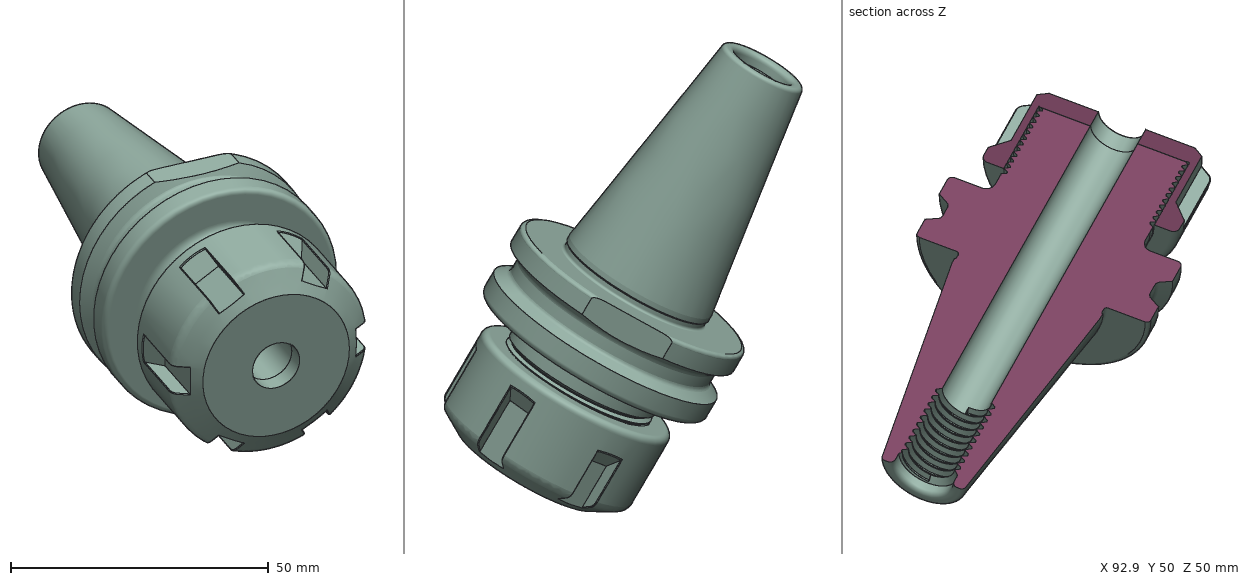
import cadquery as cq
import math


LENGTH = 92.9

TAPER_END_X = 48.3
TAPER_LARGE_R = 15.9
TAPER_RATIO = 7 / 24
TAPER_SMALL_R = TAPER_LARGE_R - TAPER_END_X * TAPER_RATIO / 2
SHANK_ROUND = 0.9

RELIEF_START_X = 49.4
RELIEF_DEPTH = 0.3
RELIEF_R = TAPER_LARGE_R - RELIEF_DEPTH
RELIEF_ROUND = 0.6

FLANGE_R = 25.0
FLANGE_REAR_X = 51.1
FLANGE_FRONT_X = 67.0
REAR_ROUND = 0.8
FRONT_ROUND = 1.1
GROOVE_START_X = 55.6
GROOVE_END_X = 62.15
GROOVE_FLOOR_R = 22.2
GROOVE_WALL_ANGLE = 30
GROOVE_WALL_RUN = (FLANGE_R - GROOVE_FLOOR_R) * math.tan(math.radians(GROOVE_WALL_ANGLE))
GROOVE_MIDDLE_X = (GROOVE_START_X + GROOVE_END_X) / 2
GROOVE_ROUND = 0.9
FLAT_HEIGHT = 23.3

NOSE_R = 16.1
NOSE_ROUND = 1.95
NOSE_END_X = 89.2
NOSE_THREAD_X = 71.5
NOSE_PITCH = 1.5
NOSE_THREAD_DEPTH = 0.9

BORE_R = 5.0
COUNTERBORE_R = 6.2
COUNTERBORE_DEPTH = 2.7
COUNTERBORE_ROUND = 1.2
COUNTERSINK_END_X = COUNTERBORE_DEPTH + COUNTERBORE_R - BORE_R
STUD_THREAD_X = 3.2
STUD_PITCH = 1.8
STUD_THREAD_DEPTH = 1.0
STUD_THREAD_TURNS = 10

FLANK_ANGLE = 30
CREST_SHARE = 1 / 8
OVERCUT = 0.2

NUT_R = 21.0
NUT_REAR_X = 72.8
NUT_REAR_ROUND = 1.4
NUT_FACE_R = 15.6
NUT_CONE_X = 89.6
NUT_FRONT_ROUND = 2.0

SLOT_COUNT = 6
SLOT_WIDTH = 5.9
SLOT_FLOOR_R = 17.65
SLOT_EDGE_BREAK = 0.2
SLOT_FLOOR_X = 79.6
SLOT_CLEARANCE = 0.9
SHORT_SLOT_INDEX = 4
SHORT_SLOT_FLOOR_X = 81.8

SELECT_REACH = 0.1


def circle_edges(solid, x, radius):
    """Select the circular edges of the given radius around the X axis at the given X."""
    low = (x - SELECT_REACH, -SELECT_REACH, -SELECT_REACH)
    high = (x + SELECT_REACH, SELECT_REACH, SELECT_REACH)
    selector = cq.selectors.BoxSelector(low, high)
    edges = solid.edges("%CIRCLE").edges(selector)
    return edges.filter(lambda edge: abs(edge.radius() - radius) < SELECT_REACH)


def thread_groove(start_x, start_side, radius, pitch, depth, turns):
    """Helical groove around the X axis; a negative depth cuts outward from a bore."""
    inward = math.copysign(1, depth)
    slope = math.tan(math.radians(FLANK_ANGLE))
    half_mouth = pitch * (1 - CREST_SHARE) / 2
    half_root = half_mouth - abs(depth) * slope
    half_outer = half_mouth + OVERCUT * slope
    outer_r = radius + inward * OVERCUT
    root_r = radius - depth
    profile = cq.Wire.makePolygon(
        [
            cq.Vector(outer_r, 0, -half_outer),
            cq.Vector(outer_r, 0, half_outer),
            cq.Vector(root_r, 0, half_root),
            cq.Vector(root_r, 0, -half_root),
        ],
        close=True,
    )
    helix = cq.Wire.makeHelix(pitch, pitch * turns, radius)
    groove = cq.Solid.sweep(profile, [], helix, True, True)
    start_plane = cq.Plane(origin=(start_x, 0, 0), xDir=start_side, normal=(1, 0, 0))
    return groove.moved(start_plane.location)


def make_holder():
    outline = [
        (0, COUNTERBORE_R),
        (0, TAPER_SMALL_R),
        (TAPER_END_X, TAPER_LARGE_R),
        (RELIEF_START_X, TAPER_LARGE_R),
        (RELIEF_START_X + RELIEF_DEPTH, RELIEF_R),
        (FLANGE_REAR_X, RELIEF_R),
        (FLANGE_REAR_X, FLANGE_R),
        (GROOVE_START_X, FLANGE_R),
        (GROOVE_START_X + GROOVE_WALL_RUN, GROOVE_FLOOR_R),
        (GROOVE_END_X - GROOVE_WALL_RUN, GROOVE_FLOOR_R),
        (GROOVE_END_X, FLANGE_R),
        (FLANGE_FRONT_X, FLANGE_R),
        (FLANGE_FRONT_X, NOSE_R),
        (NOSE_END_X, NOSE_R),
        (NOSE_END_X, BORE_R),
        (COUNTERSINK_END_X, BORE_R),
        (COUNTERBORE_DEPTH, COUNTERBORE_R),
    ]
    holder = cq.Workplane("XY").polyline(outline).close().revolve(360, (0, 0, 0), (1, 0, 0))

    rounds = [
        (0, TAPER_SMALL_R, SHANK_ROUND),
        (0, COUNTERBORE_R, COUNTERBORE_ROUND),
        (FLANGE_REAR_X, RELIEF_R, RELIEF_ROUND),
        (FLANGE_REAR_X, FLANGE_R, REAR_ROUND),
        (GROOVE_START_X + GROOVE_WALL_RUN, GROOVE_FLOOR_R, GROOVE_ROUND),
        (GROOVE_END_X - GROOVE_WALL_RUN, GROOVE_FLOOR_R, GROOVE_ROUND),
        (FLANGE_FRONT_X, FLANGE_R, FRONT_ROUND),
        (FLANGE_FRONT_X, NOSE_R, NOSE_ROUND),
    ]
    for x, radius, fillet in rounds:
        holder = circle_edges(holder, x, radius).fillet(fillet)

    flat_length = GROOVE_MIDDLE_X - FLANGE_REAR_X
    for side in (1, -1):
        flat_cut = (
            cq.Workplane("XY")
            .box(flat_length, 2 * FLANGE_R, FLANGE_R, centered=(False, True, True))
            .translate((FLANGE_REAR_X, 0, side * (FLAT_HEIGHT + FLANGE_R / 2)))
        )
        holder = holder.cut(flat_cut)

    nose_turns = math.ceil((NOSE_END_X - NOSE_THREAD_X) / NOSE_PITCH) + 1
    nose_groove = thread_groove(
        NOSE_THREAD_X, (0, -1, 0), NOSE_R, NOSE_PITCH, NOSE_THREAD_DEPTH, nose_turns
    )
    stud_groove = thread_groove(
        STUD_THREAD_X, (0, 0, -1), BORE_R, STUD_PITCH, -STUD_THREAD_DEPTH, STUD_THREAD_TURNS
    )
    return holder.cut(cq.Workplane(nose_groove)).cut(cq.Workplane(stud_groove))


def slot_cutter(floor_x):
    """Slot on the +Y side: a 45 degree ramp, then a flat floor that runs out through the front cone."""
    top_r = NUT_R + SLOT_CLEARANCE
    side = [
        (floor_x, SLOT_FLOOR_R),
        (LENGTH, SLOT_FLOOR_R),
        (LENGTH, top_r),
        (floor_x - (top_r - SLOT_FLOOR_R), top_r),
    ]
    return cq.Workplane("XY").polyline(side).close().extrude(SLOT_WIDTH / 2, both=True)


def is_slot_mouth(edge):
    """True for an edge with its middle on the nut's cylinder, behind the rounded front edge."""
    middle = edge.Center()
    distance = math.hypot(middle.y, middle.z)
    return distance > NUT_R - SELECT_REACH and middle.x < NUT_CONE_X - NUT_FRONT_ROUND


def make_nut():
    outline = [
        (NUT_REAR_X, NOSE_R),
        (NUT_REAR_X, NUT_R),
        (NUT_CONE_X, NUT_R),
        (LENGTH, NUT_FACE_R),
        (LENGTH, BORE_R),
        (NOSE_END_X, BORE_R),
        (NOSE_END_X, NOSE_R),
    ]
    nut = cq.Workplane("XY").polyline(outline).close().revolve(360, (0, 0, 0), (1, 0, 0))
    nut = circle_edges(nut, NUT_REAR_X, NUT_R).fillet(NUT_REAR_ROUND)
    nut = circle_edges(nut, NUT_CONE_X, NUT_R).fillet(NUT_FRONT_ROUND)

    for index in range(SLOT_COUNT):
        floor_x = SHORT_SLOT_FLOOR_X if index == SHORT_SLOT_INDEX else SLOT_FLOOR_X
        angle = index * 360 / SLOT_COUNT
        nut = nut.cut(slot_cutter(floor_x).rotate((0, 0, 0), (1, 0, 0), angle))

    mouth_edges = nut.edges().filter(is_slot_mouth)
    return mouth_edges.chamfer(SLOT_EDGE_BREAK)


holder = make_holder()
nut = make_nut()
result = cq.Compound.makeCompound([holder.solids().val(), nut.solids().val()])